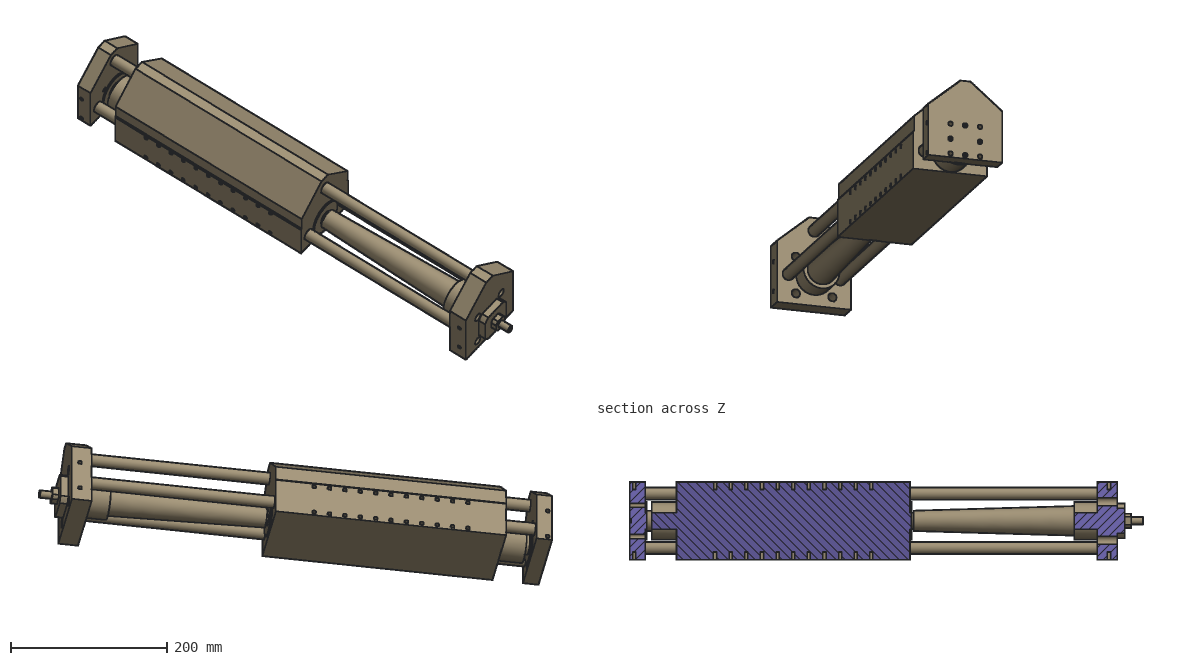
import cadquery as cq
import math


length = 658.0
width = 100.0
height = 121.0

axis_z = 39.0
rod_diameter = 16.0
upper_rod_z = 101.0
lower_rod_y = 35.0
rod_places = [(0, upper_rod_z), (lower_rod_y, axis_z), (-lower_rod_y, axis_z)]

tail_plate_thickness = 20.5
drive_plate_start = 599.0
drive_plate_thickness = 25.5
drive_plate_end = drive_plate_start + drive_plate_thickness
plate_top = 118.5
plate_shoulder = 83.0
raised_foot = 14.0
ridge_width = 14.0

carriage_start = 60.0
carriage_length = 299.5
carriage_end = carriage_start + carriage_length
carriage_shoulder = 85.0
cover_inset = 1.0
ledge_bottom = 63.0
ledge_top = 65.0

cup_diameter = 49.0
tail_cup_length = 31.5
drive_cup_length = 29.5
collar_length = 2.0
cover_neck_diameter = 21.0
cover_neck_length = 2.5
cover_small_diameter = 26.0
cover_large_diameter = 38.0

hole_pitch = 20.0
side_hole_diameter = 4.95
side_hole_depth = 10.0
side_holes_per_row = 11
tail_side_hole_x = 6.0
drive_side_hole_x = drive_plate_start + 15.0
tail_hole_diameter = 6.0
tail_small_hole_diameter = 3.0
tail_recess_depth = 2.0
mount_hole_diameter = 11.0
mount_hole_offset = 24.7

flange_across_flats = 45.0
flange_flat_width = 31.0
flange_thickness = 10.0
nut_diameter = 21.0
nut_flat_width = 10.0
nut_length = 8.0
shaft_diameter = 10.0
shaft_chamfer = 0.5


def rod_along_x(diameter, start, end, y=0, z=axis_z):
    """Round bar along X from start to end."""
    plane = cq.Workplane("YZ", origin=(start, y, z))
    return plane.circle(diameter / 2).extrude(end - start)


def cone_along_x(start_diameter, end_diameter, start, end):
    """Truncated cone on the drive axis."""
    plane = cq.Workplane("YZ", origin=(start, 0, axis_z))
    return plane.circle(start_diameter / 2).workplane(offset=end - start).circle(end_diameter / 2).loft()


def side_hole(x, z, side):
    """Cutter for a blind hole in the side face at Y = side * width / 2."""
    face_y = side * width / 2
    direction = cq.Vector(0, -side, 0)
    center = cq.Vector(x, face_y, z)
    return cq.Workplane(cq.Solid.makeCylinder(side_hole_diameter / 2, side_hole_depth, center, direction))


def cut_side_holes(body, x_places):
    """Two rows of blind holes on both sides of a body, above and below the drive axis."""
    for x in x_places:
        for z in (axis_z - hole_pitch, axis_z + hole_pitch):
            for side in (-1, 1):
                body = body.cut(side_hole(x, z, side))
    return body


def end_plate(start, thickness, foot):
    """Plate with a flat-topped gable."""
    half_outline = [(ridge_width / 2, plate_top), (width / 2, plate_shoulder), (width / 2, foot)]
    mirrored = [(-y, z) for y, z in reversed(half_outline)]
    plane = cq.Workplane("YZ", origin=(start, 0, 0))
    return plane.polyline(half_outline + mirrored).close().extrude(thickness)


def square_with_round_corners(start, flat_distance, flat_width, thickness):
    """Square block on the drive axis whose corners are trimmed by a coaxial cylinder."""
    corner_diameter = math.hypot(flat_distance, flat_width)
    plane = cq.Workplane("YZ", origin=(start, 0, axis_z))
    block = plane.rect(flat_distance, flat_distance).extrude(thickness)
    return block.intersect(rod_along_x(corner_diameter, start, start + thickness))


def make_tail_plate():
    """Tail plate with side holes, four corner holes and four recessed small holes between them."""
    plate = end_plate(0, tail_plate_thickness, raised_foot)
    steps = (-hole_pitch, 0, hole_pitch)
    places = [(y, z) for y in steps for z in steps if (y, z) != (0, 0)]
    for y, z in places:
        is_corner = y != 0 and z != 0
        wide_depth = tail_plate_thickness if is_corner else tail_recess_depth
        plate = plate.cut(rod_along_x(tail_hole_diameter, 0, wide_depth, y, axis_z + z))
        if not is_corner:
            small_hole = rod_along_x(tail_small_hole_diameter, 0, tail_plate_thickness, y, axis_z + z)
            plate = plate.cut(small_hole)
    plate = cut_side_holes(plate, [tail_side_hole_x])
    collar_end = tail_plate_thickness + collar_length
    return plate.union(rod_along_x(cup_diameter, tail_plate_thickness, collar_end))


def make_drive_plate():
    """Drive plate with four mounting holes and side holes."""
    plate = end_plate(drive_plate_start, drive_plate_thickness, 0)
    for y in (-mount_hole_offset, mount_hole_offset):
        for z in (-mount_hole_offset, mount_hole_offset):
            hole = rod_along_x(mount_hole_diameter, drive_plate_start, drive_plate_end, y, axis_z + z)
            plate = plate.cut(hole)
    return cut_side_holes(plate, [drive_side_hole_x])


def make_drive_end():
    """Bearing flange, nut with four wrench flats, and chamfered shaft end."""
    nut_start = drive_plate_end + flange_thickness
    nut_end = nut_start + nut_length
    nut_across_flats = math.sqrt(nut_diameter**2 - nut_flat_width**2)
    flange = square_with_round_corners(
        drive_plate_end, flange_across_flats, flange_flat_width, flange_thickness
    )
    nut = square_with_round_corners(nut_start, nut_across_flats, nut_flat_width, nut_length)
    shaft = rod_along_x(shaft_diameter, nut_end, length).faces(">X").chamfer(shaft_chamfer)
    return flange.union(nut).union(shaft)


def make_drive_side_cover():
    """Tapered spring cover from the carriage to its cup on the drive plate."""
    neck_start = carriage_end + collar_length
    cone_start = neck_start + cover_neck_length
    cup_start = drive_plate_start - drive_cup_length
    neck = rod_along_x(cover_neck_diameter, neck_start, cone_start)
    cone = cone_along_x(cover_small_diameter, cover_large_diameter, cone_start, cup_start)
    cup = rod_along_x(cup_diameter, cup_start, drive_plate_start)
    return neck.union(cone).union(cup)


def make_frame():
    """Fixed frame: two end plates joined by three guide rods, with the drive end."""
    frame = make_tail_plate().union(make_drive_plate())
    for y, z in rod_places:
        frame = frame.union(rod_along_x(rod_diameter, tail_plate_thickness, drive_plate_start, y, z))
    return frame.union(make_drive_side_cover()).union(make_drive_end())


def make_carriage():
    """Sliding carriage bored for the three guide rods, with its spring cover cup and collar."""
    cover_half_width = width / 2 - cover_inset
    half_outline = [
        (ridge_width / 2, height),
        (cover_half_width, carriage_shoulder),
        (cover_half_width, ledge_top),
        (width / 2, ledge_bottom),
        (width / 2, raised_foot),
    ]
    mirrored = [(-y, z) for y, z in reversed(half_outline)]
    plane = cq.Workplane("YZ", origin=(carriage_start, 0, 0))
    carriage = plane.polyline(half_outline + mirrored).close().extrude(carriage_length)

    center_x = carriage_start + carriage_length / 2
    middle_hole = (side_holes_per_row - 1) / 2
    hole_places = [center_x + (i - middle_hole) * hole_pitch for i in range(side_holes_per_row)]
    carriage = cut_side_holes(carriage, hole_places)

    cup_start = carriage_start - tail_cup_length
    collar_end = carriage_end + collar_length
    cover_start = tail_plate_thickness + collar_length
    carriage = carriage.union(rod_along_x(cup_diameter, cup_start, carriage_start))
    carriage = carriage.union(rod_along_x(cup_diameter, carriage_end, collar_end))
    carriage = carriage.union(rod_along_x(cover_small_diameter, cover_start, cup_start))

    for y, z in rod_places:
        carriage = carriage.cut(rod_along_x(rod_diameter, cup_start, collar_end, y, z))
    return carriage


frame = make_frame()
carriage = make_carriage()
result = cq.Compound.makeCompound([*frame.solids().vals(), *carriage.solids().vals()])